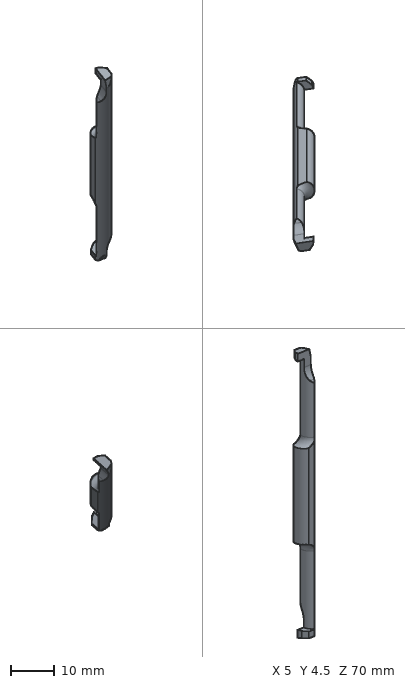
import cadquery as cq
import math


length = 70.0
shank_diameter = 5.0
width_across_flats = 4.5
shank_length = 23.65
shoulder_fillet = 2.2
neck_half_width = 2.1
neck_face_x = -0.1
hook_height = 1.95
hook_tip_x = -2.3
underside_rise = 0.3
flank_knee = (-2.0, 0.9)
flank_heel_x = -0.9
corner_top_x = 1.9
corner_height = 2.1
corner_relief = 0.3
flat_length = 3.9
runout_radius = 4.4
rake_y = -0.1

half_length = length / 2
radius = shank_diameter / 2
half_width = width_across_flats / 2
shoulder_z = shank_length / 2
hook_bottom_z = half_length - hook_height
cusp_x = math.sqrt(radius**2 - neck_half_width**2)
neck_sagitta = cusp_x - neck_face_x
neck_radius = (neck_half_width**2 + neck_sagitta**2) / (2 * neck_sagitta)
neck_axis_x = neck_face_x + neck_radius
runout_reach = runout_radius * math.sin(math.radians(45))
runout_depth = runout_radius - runout_reach


def make_blank():
    """Full-length round bar with a flat on each Y side."""
    bar = cq.Workplane("XY").circle(radius).extrude(half_length, both=True)
    slab = cq.Workplane("XY").box(shank_diameter, width_across_flats, length)
    return bar.intersect(slab)


def make_neck_cutter():
    """Ring around the neck, from the filleted shoulder to the hook's underside."""
    outer = neck_radius + shank_diameter
    fillet_top_z = shoulder_z + shoulder_fillet
    fillet_outer = neck_radius + shoulder_fillet
    bend = shoulder_fillet * (1 - math.sqrt(0.5))
    ring = (
        cq.Workplane("XZ")
        .moveTo(neck_radius, half_length)
        .lineTo(neck_radius, fillet_top_z)
        .threePointArc((neck_radius + bend, shoulder_z + bend), (fillet_outer, shoulder_z))
        .lineTo(outer, shoulder_z)
        .lineTo(outer, half_length)
        .close()
        .revolve(360, (0, 0), (0, 1))
        .translate((neck_axis_x, 0, 0))
    )
    below_hook = (
        cq.Workplane("YZ")
        .moveTo(-radius, 0)
        .lineTo(-radius, hook_bottom_z)
        .lineTo(0, hook_bottom_z)
        .lineTo(half_width, hook_bottom_z + underside_rise)
        .lineTo(half_width, 0)
        .close()
        .extrude(shank_diameter, both=True)
    )
    return ring.intersect(below_hook)


def make_rake_cutter():
    """Removes the -Y half of the head and runs out in an arc and a 45-degree ramp."""
    flat_end_z = half_length - flat_length
    half_angle = math.radians(45) / 2
    arc_middle = (
        rake_y - runout_radius * (1 - math.cos(half_angle)),
        flat_end_z - runout_radius * math.sin(half_angle),
    )
    arc_end = (rake_y - runout_depth, flat_end_z - runout_reach)
    ramp = shank_diameter
    return (
        cq.Workplane("YZ")
        .moveTo(rake_y, half_length)
        .lineTo(rake_y, flat_end_z)
        .threePointArc(arc_middle, arc_end)
        .lineTo(arc_end[0] - ramp, arc_end[1] - ramp)
        .lineTo(arc_end[0] - ramp, half_length)
        .close()
        .extrude(shank_diameter, both=True)
    )


def make_flank_cutter():
    """Shapes the primary and secondary relief beside the hook's cutting edge."""
    return (
        cq.Workplane("XY", origin=(0, 0, hook_bottom_z))
        .moveTo(hook_tip_x, rake_y)
        .lineTo(*flank_knee)
        .lineTo(flank_heel_x, half_width)
        .lineTo(-shank_diameter, half_width)
        .lineTo(-shank_diameter, rake_y)
        .close()
        .extrude(hook_height)
    )


def make_corner_cutter():
    """Slopes the outer corner of the head, with relief growing towards +Y."""
    def triangle(y, offset):
        slope = (radius - corner_top_x) / corner_height
        top_x = corner_top_x - offset
        wide_x = top_x + shank_diameter
        low_z = half_length - shank_diameter / slope
        points = [(top_x, half_length), (wide_x, half_length), (wide_x, low_z)]
        return cq.Wire.makePolygon([cq.Vector(x, y, z) for x, z in points], close=True)

    return cq.Solid.makeLoft([triangle(rake_y, 0), triangle(half_width, corner_relief)], True)


def make_boring_bar():
    bar = make_blank()
    cutters = [
        make_neck_cutter().val(),
        make_rake_cutter().val(),
        make_flank_cutter().val(),
        make_corner_cutter(),
    ]
    for cutter in cutters:
        opposite_cutter = cutter.rotate((0, 0, 0), (1, 0, 0), 180)
        bar = bar.cut(cq.Workplane(cutter)).cut(cq.Workplane(opposite_cutter))
    return bar


boring_bar = make_boring_bar()

result = cq.Compound.makeCompound([*boring_bar.vals()])